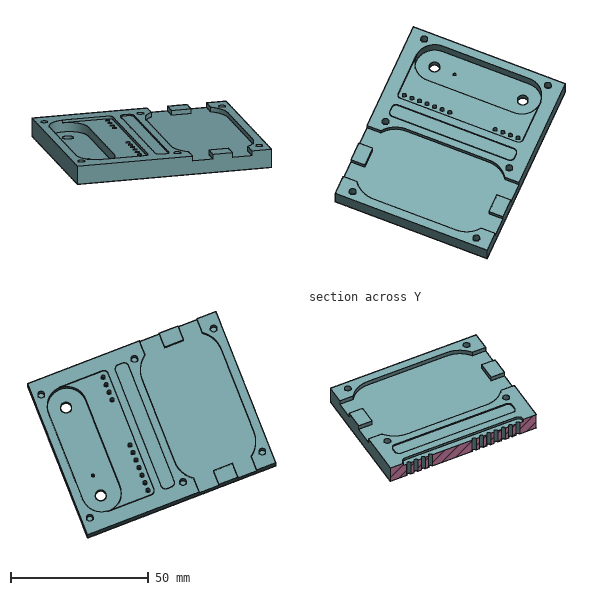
import cadquery as cq
import math

plate_width = 60.0
plate_length = 73.5
plate_height = 7.0

recess_depth = 1.8
recess_center_y = 54.8
recess_length = 30.9
recess_corner_radius = 10.0
channel_length = 22.4
channel_inner_x = 24.5

tab_front_y = 51.3
tab_length = 7.4

pocket_width = 49.1
pocket_corner_radius = 1.7
slot_center_y = 34.0
slot_length = 5.1
slot_depth = 0.5
ledge_back_y = 28.7
ledge_depth = 1.0

cavity_width = 48.8
cavity_length = 14.5
cavity_front_y = 3.15
cavity_depth = 4.5

port_diameter = 4.0
port_x = 17.4
port_y = 10.1
vent_diameter = 1.0
vent_x = 9.5

pin_diameter = 1.5
pin_row_y = 26.5
pin_row_span = 44.8
pin_positions = 16
left_pin_count = 4
right_pin_count = 7

screw_diameter = 2.5
screw_depth = 4.4
screw_x = 24.4
screw_rows_y = (3.1, 39.5, 70.4)


def block(width, length, height, center_x, center_y, bottom_z):
    """Box centred in plan, standing on the given level."""
    box = cq.Workplane("XY").box(width, length, height, centered=(True, True, False))
    return box.translate((center_x, center_y, bottom_z))


def holes(points, diameter, depth):
    """Round cutters reaching down from the top face."""
    top = cq.Workplane("XY").workplane(offset=plate_height)
    return top.pushPoints(points).circle(diameter / 2).extrude(-depth)


def recess():
    """Recess whose corner arcs stop where they meet the side channels."""
    half_length = recess_length / 2
    half_channel = channel_length / 2
    arc_rise = half_length - half_channel
    arc_run = math.sqrt(2 * recess_corner_radius * arc_rise - arc_rise**2)
    arc_x = channel_inner_x - arc_run
    edge_x = plate_width / 2
    outline = (
        cq.Workplane("XY")
        .workplane(offset=plate_height - recess_depth)
        .center(0, recess_center_y)
        .moveTo(-edge_x, -half_channel)
        .lineTo(-channel_inner_x, -half_channel)
        .radiusArc((-arc_x, -half_length), -recess_corner_radius)
        .lineTo(arc_x, -half_length)
        .radiusArc((channel_inner_x, -half_channel), -recess_corner_radius)
        .lineTo(edge_x, -half_channel)
        .lineTo(edge_x, half_channel)
        .lineTo(channel_inner_x, half_channel)
        .radiusArc((arc_x, half_length), -recess_corner_radius)
        .lineTo(-arc_x, half_length)
        .radiusArc((-channel_inner_x, half_channel), -recess_corner_radius)
        .lineTo(-edge_x, half_channel)
        .close()
    )
    return outline.extrude(recess_depth)


def tabs():
    """Pair of tabs, flush with the plate's sides and top."""
    width = plate_width / 2 - channel_inner_x
    center_x = channel_inner_x + width / 2
    center_y = tab_front_y + tab_length / 2
    floor = plate_height - recess_depth
    left = block(width, tab_length, recess_depth, -center_x, center_y, floor)
    right = block(width, tab_length, recess_depth, center_x, center_y, floor)
    return left.add(right).combine()


def slot():
    body = block(pocket_width, slot_length, slot_depth, 0, slot_center_y, plate_height - slot_depth)
    return body.edges("|Z").fillet(pocket_corner_radius)


def ledge():
    """Shallow pocket running from its rounded back corners to the port line."""
    length = ledge_back_y - port_y
    center_y = (ledge_back_y + port_y) / 2
    body = block(pocket_width, length, ledge_depth, 0, center_y, plate_height - ledge_depth)
    return body.edges("|Z and >Y").fillet(pocket_corner_radius)


def cavity():
    return (
        cq.Workplane("XY")
        .workplane(offset=plate_height)
        .center(0, cavity_front_y + cavity_length / 2)
        .slot2D(cavity_width, cavity_length)
        .extrude(-cavity_depth)
    )


def pin_points():
    """Pin places on an even pitch, filled only at the two ends of the row."""
    pitch = pin_row_span / (pin_positions - 1)
    left = list(range(left_pin_count))
    right = list(range(pin_positions - right_pin_count, pin_positions))
    return [(i * pitch - pin_row_span / 2, pin_row_y) for i in left + right]


ports = [(-port_x, port_y), (port_x, port_y)]
screws = [(x, y) for x in (-screw_x, screw_x) for y in screw_rows_y]

plate = block(plate_width, plate_length, plate_height, 0, plate_length / 2, 0)
result = (
    plate.cut(recess())
    .union(tabs())
    .cut(slot())
    .cut(ledge())
    .cut(cavity())
    .cut(holes(ports, port_diameter, plate_height))
    .cut(holes([(vent_x, port_y)], vent_diameter, plate_height))
    .cut(holes(pin_points(), pin_diameter, plate_height))
    .cut(holes(screws, screw_diameter, screw_depth))
)